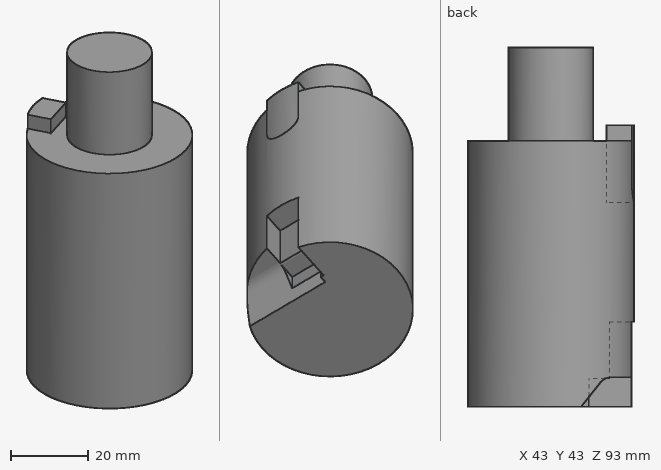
import cadquery as cq
import math

total_height = 93.0
housing_diameter = 43.0
housing_radius = housing_diameter / 2
housing_height = 68.8
shaft_diameter = 22.0

key_width = 10.0
key_length = 20.0
key_bottom = 52.9
key_inner_x = -14.3

slot_width = key_width
slot_height = 21.95
slot_inner_x = -15.1
pocket_height = 7.4
pocket_inner_x = -9.8

undercut_height = 7.6
undercut_base_x = -7.8
undercut_angle = 38.3
undercut_fillet = 3.7
undercut_start_y = -4.1


def side_block(inner_x, width, height):
    """Block from inner_x out to the housing's -X limit, standing on Z = 0."""
    depth = inner_x + housing_radius
    return (
        cq.Workplane("XY")
        .box(depth, width, height, centered=(False, True, False))
        .translate((-housing_radius, 0, 0))
    )


def make_key():
    """Key with a round lower end and an outer face flush with the housing."""
    key_top = key_bottom + key_length
    end_radius = key_width / 2
    end_center_z = key_bottom + end_radius
    blank = (
        cq.Workplane("YZ", origin=(-housing_radius, 0, 0))
        .moveTo(-end_radius, key_top)
        .lineTo(-end_radius, end_center_z)
        .threePointArc((0, key_bottom), (end_radius, end_center_z))
        .lineTo(end_radius, key_top)
        .close()
        .extrude(key_inner_x + housing_radius)
    )
    envelope = cq.Workplane("XY").circle(housing_radius).extrude(total_height)
    return blank.intersect(envelope)


def make_undercut():
    """Cutter with a flat roof that blends through a fillet into a sloped face."""
    roof_end_x = undercut_base_x - undercut_height * math.tan(math.radians(undercut_angle))
    cutter = (
        cq.Workplane("XZ", origin=(0, undercut_start_y, 0))
        .moveTo(-housing_radius, 0)
        .lineTo(undercut_base_x, 0)
        .lineTo(roof_end_x, undercut_height)
        .lineTo(-housing_radius, undercut_height)
        .close()
        .extrude(-(housing_radius - undercut_start_y))
    )
    roof_corner = cq.selectors.NearestToPointSelector((roof_end_x, 0, undercut_height))
    return cutter.edges("|Y").edges(roof_corner).fillet(undercut_fillet)


def make_housing(key):
    """Cylinder with the key seat, slot, pocket and undercut removed."""
    return (
        cq.Workplane("XY")
        .circle(housing_radius)
        .extrude(housing_height)
        .cut(key)
        .cut(side_block(slot_inner_x, slot_width, slot_height))
        .cut(side_block(pocket_inner_x, slot_width, pocket_height))
        .cut(make_undercut())
    )


def make_shaft():
    """Plain round shaft standing on the housing's top face."""
    return (
        cq.Workplane("XY", origin=(0, 0, housing_height))
        .circle(shaft_diameter / 2)
        .extrude(total_height - housing_height)
    )


key = make_key()
housing = make_housing(key)
shaft = make_shaft()

result = cq.Compound.makeCompound([housing.solids().val(), shaft.val(), key.solids().val()])